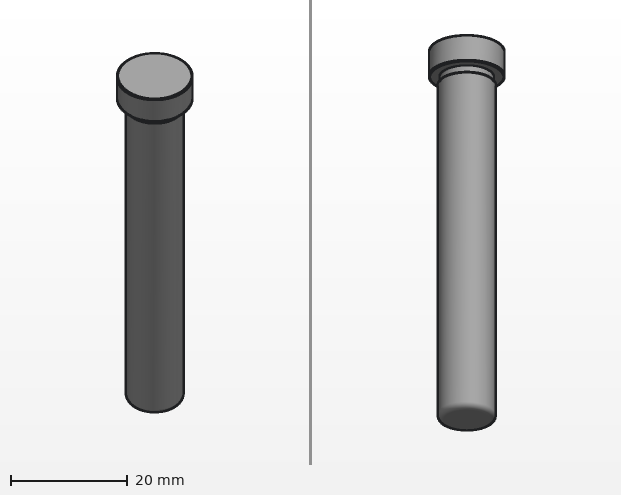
import cadquery as cq

total_length = 70.0
head_diameter = 13.0
head_height = 5.0
shank_diameter = 10.0

undercut_length = 1.5
undercut_depth = 0.3

head_chamfer = 0.2
tip_radius = 1.0

head_bottom_z = total_length - head_height
shoulder_bottom_z = head_bottom_z - undercut_length
shoulder_top_z = shoulder_bottom_z + undercut_depth
neck_diameter = shank_diameter - 2 * undercut_depth


def cylinder(diameter, bottom_z, top_z):
    """Solid cylinder on the pin axis between two heights."""
    base = cq.Workplane("XY").workplane(offset=bottom_z)
    return base.circle(diameter / 2).extrude(top_z - bottom_z)


def make_head():
    """Flat cylindrical head with both rims chamfered."""
    head = cylinder(head_diameter, head_bottom_z, total_length)
    return head.faces("<Z or >Z").edges().chamfer(head_chamfer)


def make_neck():
    """Reduced diameter between the shank and the head."""
    return cylinder(neck_diameter, shoulder_top_z, head_bottom_z)


def make_shank():
    """Shank with a rounded tip and a conical shoulder running into the neck."""
    shank = cylinder(shank_diameter, 0, shoulder_top_z)
    shank = shank.faces("<Z").edges().fillet(tip_radius)
    return shank.faces(">Z").edges().chamfer(undercut_depth)


result = make_shank().union(make_neck()).union(make_head())